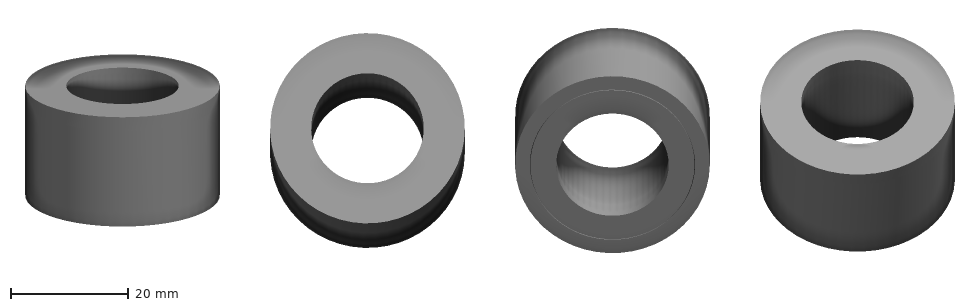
import cadquery as cq

outer_diameter = 33.2
total_height = 19.7
bore_diameter = 19.2

flange_thickness = 2.45
sleeve_diameter = 28.0

ring_bore_diameter = 28.2
ring_height = total_height - flange_thickness


def tube(outer, inner, height):
    """Plain tube standing on the XY plane."""
    return cq.Workplane("XY").circle(outer / 2).circle(inner / 2).extrude(height)


def make_outer_ring():
    """Ring that surrounds the sleeve and carries the flange on its top face."""
    return tube(outer_diameter, ring_bore_diameter, ring_height)


def make_flanged_bushing():
    """Sleeve with a flange on top and one bore through both."""
    sleeve = tube(sleeve_diameter, bore_diameter, total_height)
    flange = tube(outer_diameter, bore_diameter, flange_thickness).translate((0, 0, ring_height))
    return sleeve.union(flange)


outer_ring = make_outer_ring()
flanged_bushing = make_flanged_bushing()

result = cq.Compound.makeCompound([outer_ring.val(), flanged_bushing.val()])